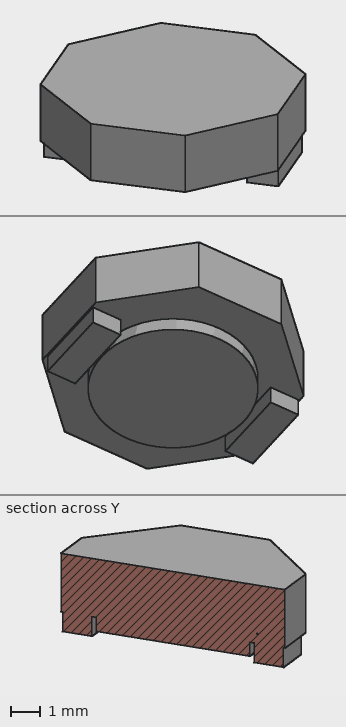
import cadquery as cq

body_width = 8.3
total_height = 2.8
terminal_height = 0.7
body_height = total_height - terminal_height
corner_cut = 2.5

base_diameter = 5.7
base_height = 0.5

terminal_length_x = 1.1
terminal_width_y = 2.8
terminal_inset = 0.05
terminal_offset = body_width / 2 - terminal_inset - terminal_length_x / 2


def make_body():
    """Square block with its four vertical edges cut to form an octagon."""
    block = cq.Workplane("XY").box(body_width, body_width, body_height, centered=(True, True, False))
    return block.edges("|Z").chamfer(corner_cut).translate((0, 0, terminal_height))


def make_base():
    """Disc hanging from the underside of the body, clear of the seating plane."""
    base_bottom = terminal_height - base_height
    return cq.Workplane("XY").workplane(offset=base_bottom).circle(base_diameter / 2).extrude(base_height)


def make_terminal(side):
    """Rectangular pad from the seating plane (Z = 0) up to the body."""
    pad = cq.Workplane("XY").box(
        terminal_length_x, terminal_width_y, terminal_height, centered=(True, True, False)
    )
    return pad.translate((side * terminal_offset, 0, 0))


result = make_body().union(make_base())
for side in (-1, 1):
    result = result.union(make_terminal(side))